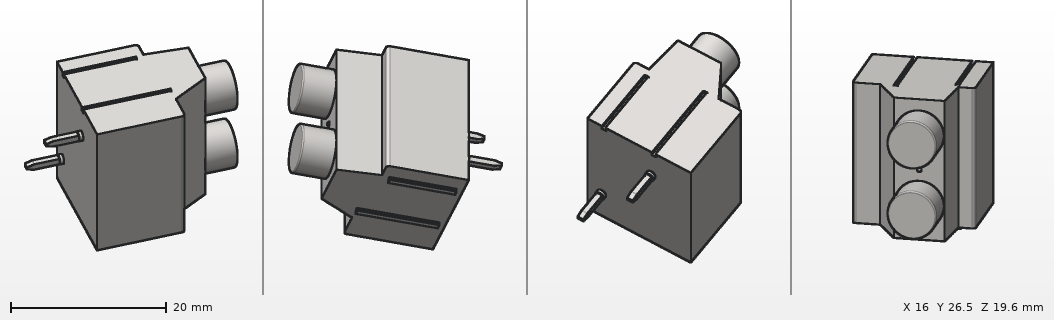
import cadquery as cq


pole_pitch = 9.55
pole_count = 2
housing_width = 16.0
housing_depth = 17.0
housing_height = pole_pitch * pole_count
left_shoulder_depth = 11.05
right_shoulder_depth = 12.03
left_slope_foot_x = 2.2
left_slope_top_x = 2.73
right_slope_top_x = 9.43
right_slope_foot_x = 12.32
shoulder_fillet = 0.45

collar_diameter = 6.5
collar_length = 4.5
collar_fillet = 0.19
collar_x = (left_slope_top_x + right_slope_top_x) / 2

dome_base_radius = 0.32
dome_height = 0.25

pin_length = 4.98
pin_size = 0.9
pin_boss_diameter = 1.32
pin_boss_length = 0.53
pin_taper_length = 0.98
pin_tip_thickness = 0.35
left_pin_x = 2.23
pin_spacing = 7.65

dovetail_width = 0.75
dovetail_neck_width = 0.45
dovetail_depth = 0.53
dovetail_flare_height = 0.19
left_dovetail_x = 2.55
dovetail_spacing = 7.75
left_dovetail_end = 10.0
right_dovetail_end = right_shoulder_depth
rib_front_setback = 0.98


def pole_z(index):
    """Height of the centre of a pole, counted from the underside."""
    return (index + 0.5) * pole_pitch


def make_housing():
    """Block with a raised, sloped back and rounded outer shoulders."""
    block = (
        cq.Workplane("XY")
        .polyline(
            [
                (0, 0),
                (housing_width, 0),
                (housing_width, right_shoulder_depth),
                (right_slope_foot_x, right_shoulder_depth),
                (right_slope_top_x, housing_depth),
                (left_slope_top_x, housing_depth),
                (left_slope_foot_x, left_shoulder_depth),
                (0, left_shoulder_depth),
            ]
        )
        .close()
        .extrude(housing_height)
    )
    shoulder_corners = cq.selectors.NearestToPointSelector((0, left_shoulder_depth, housing_height / 2))
    shoulder_corners += cq.selectors.NearestToPointSelector(
        (housing_width, right_shoulder_depth, housing_height / 2)
    )
    return block.edges(shoulder_corners).fillet(shoulder_fillet)


def make_collar(z):
    """Round wire-entry collar on the back face."""
    return (
        cq.Workplane("XZ", origin=(collar_x, housing_depth, z))
        .circle(collar_diameter / 2)
        .extrude(-collar_length)
        .faces(">Y")
        .edges()
        .fillet(collar_fillet)
    )


def make_dome():
    """Shallow spherical cap standing on the back face between the poles."""
    sphere_radius = (dome_base_radius**2 + dome_height**2) / (2 * dome_height)
    center_y = housing_depth + dome_height - sphere_radius
    return cq.Workplane("XY", origin=(collar_x, center_y, housing_height / 2)).sphere(sphere_radius)


def make_pin(x, z):
    """Square solder pin on a round boss, tapered in thickness to a blunt tip."""
    boss = cq.Workplane("XZ", origin=(x, 0, z)).circle(pin_boss_diameter / 2).extrude(pin_boss_length)
    taper_start = -(pin_length - pin_taper_length)
    half_size = pin_size / 2
    half_tip = pin_tip_thickness / 2
    blade = (
        cq.Workplane("YZ", origin=(x, 0, z))
        .polyline(
            [
                (0, half_size),
                (taper_start, half_size),
                (-pin_length, half_tip),
                (-pin_length, -half_tip),
                (taper_start, -half_size),
                (0, -half_size),
            ]
        )
        .close()
        .extrude(half_size, both=True)
    )
    return boss.union(blade)


def make_dovetail(x, surface_z, y_start, y_end):
    """Bar along Y that hangs below surface_z and widens from a narrow neck."""
    half_neck = dovetail_neck_width / 2
    half_width = dovetail_width / 2
    return (
        cq.Workplane("XZ", origin=(x, y_start, surface_z))
        .polyline(
            [
                (-half_neck, 0),
                (half_neck, 0),
                (half_width, -dovetail_flare_height),
                (half_width, -dovetail_depth),
                (-half_width, -dovetail_depth),
                (-half_width, -dovetail_flare_height),
            ]
        )
        .close()
        .extrude(y_start - y_end)
    )


result = make_housing()

for pole in range(pole_count):
    result = result.union(make_collar(pole_z(pole)))
    result = result.union(make_pin(left_pin_x + pole * pin_spacing, pole_z(pole)))

result = result.union(make_dome())

for index, dovetail_end in enumerate([left_dovetail_end, right_dovetail_end]):
    dovetail_x = left_dovetail_x + index * dovetail_spacing
    result = result.cut(make_dovetail(dovetail_x, housing_height, 0, dovetail_end))
    result = result.union(make_dovetail(dovetail_x, 0, rib_front_setback, dovetail_end))